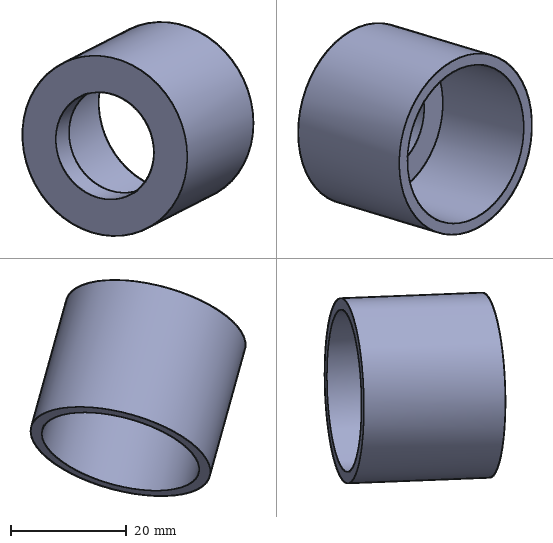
import cadquery as cq

outer_diameter = 32.0
length = 25.0
bore_diameter = 19.0
counterbore_diameter = 28.0
lip_thickness = 5.0


def cylinder_along_y(diameter, start, height):
    """Cylinder about the Y axis, running from start towards +Y."""
    plane = cq.Plane(origin=(0, start, 0), xDir=(1, 0, 0), normal=(0, 1, 0))
    return cq.Workplane(plane).circle(diameter / 2).extrude(height)


front = -length / 2
body = cylinder_along_y(outer_diameter, front, length)

bore = cylinder_along_y(bore_diameter, front, length)
counterbore = cylinder_along_y(
    counterbore_diameter, front + lip_thickness, length - lip_thickness
)

result = body.cut(bore).cut(counterbore)